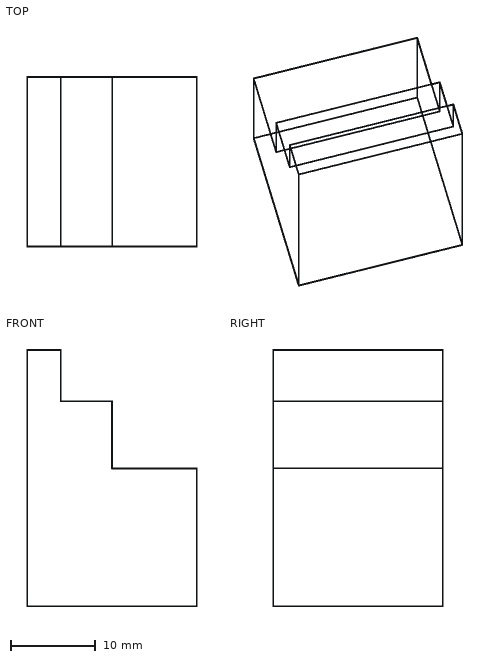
import cadquery as cq

length = 20.0
width = 20.0
height = 30.2

wall_thickness = 4.0
middle_step_end = length / 2
middle_step_height = 24.18
low_step_height = 16.25

profile = [
    (0, 0),
    (length, 0),
    (length, low_step_height),
    (middle_step_end, low_step_height),
    (middle_step_end, middle_step_height),
    (wall_thickness, middle_step_height),
    (wall_thickness, height),
    (0, height),
]

result = cq.Workplane("XZ").polyline(profile).close().extrude(width / 2, both=True)